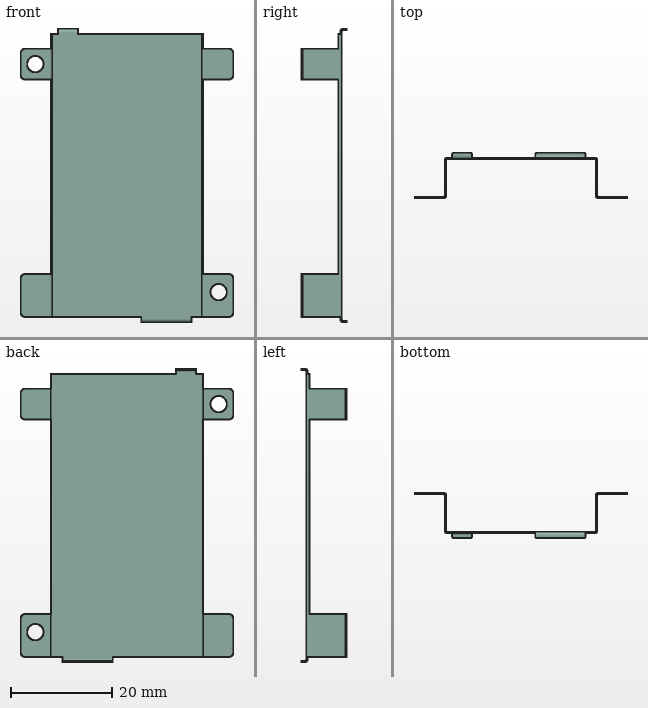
import cadquery as cq

total_width = 42.0
total_depth = 9.0
half_width = total_width / 2
total_height = 58.0

sheet = 0.3
rim_outer_radius = 0.4
foot_inner_radius = 0.3
foot_outer_radius = foot_inner_radius + sheet
lip_inner_radius = 0.35
lip_outer_radius = lip_inner_radius + sheet

plate_width = 30.05
half_plate = plate_width / 2
plate_bottom = 1.05
plate_top = total_height - plate_bottom
plate_back = 8.0
plate_front = plate_back - sheet
rim_depth = 0.7

top_lip_start, top_lip_width = -13.65, 4.0
bottom_lip_start, bottom_lip_width = 2.8, 10.0
lip_corner_radius = 0.4
mid_height = total_height / 2

upper_foot_bottom, upper_foot_top = 47.9, 54.05
lower_foot_bottom, lower_foot_top = plate_bottom, 9.55
foot_corner_radius = 0.9

hole_diameter = 3.2
hole_offset = 18.1
upper_hole_height = (upper_foot_bottom + upper_foot_top) / 2
lower_hole_height = 6.0


def box(x0, x1, y0, y1, z0, z1):
    """Box between two opposite corners."""
    return cq.Workplane("XY").box(x1 - x0, y1 - y0, z1 - z0, centered=False).translate((x0, y0, z0))


def round_bend(solid, edges_at, axis):
    """Round the given (point, radius) edges that run along an axis."""
    for point, radius in edges_at:
        selector = cq.selectors.NearestToPointSelector(point)
        solid = solid.edges("|" + axis).edges(selector).fillet(radius)
    return solid


def make_channel():
    """Plate with a shallow rim along both long sides, rounded on the outside."""
    rim_front = plate_back - rim_depth
    outer = box(-half_plate, half_plate, rim_front, plate_back, plate_bottom, plate_top)
    outer = outer.edges("|Z and >Y").fillet(rim_outer_radius)
    inside = half_plate - sheet
    cavity = box(-inside, inside, rim_front, plate_front, plate_bottom, plate_top)
    return outer.cut(cavity)


def make_right_foot(z0, z1):
    """Side wall running forward from the rim, bent outward into a flat foot."""
    wall_inside = half_plate - sheet
    wall_end = plate_back - rim_depth
    z_mid = (z0 + z1) / 2
    wall = box(wall_inside, half_plate, 0, wall_end, z0, z1)
    flange = box(wall_inside, half_width, 0, sheet, z0, z1)
    flange = flange.edges("|Y and >X").fillet(foot_corner_radius)
    bend_edges = [
        ((wall_inside, 0, z_mid), foot_outer_radius),
        ((half_plate, sheet, z_mid), foot_inner_radius),
    ]
    return round_bend(wall.union(flange), bend_edges, "Z")


def make_top_lip(x0, width):
    """Tab rising from the top edge and bent rearward."""
    x1 = x0 + width
    x_mid = x0 + width / 2
    lip_under = total_height - sheet
    neck = box(x0, x1, plate_front, plate_back, plate_top, total_height)
    tip = box(x0, x1, plate_front, total_depth, lip_under, total_height)
    tip = tip.edges("|Z and >Y").fillet(lip_corner_radius)
    bend_edges = [
        ((x_mid, plate_front, total_height), lip_outer_radius),
        ((x_mid, plate_back, lip_under), lip_inner_radius),
    ]
    return round_bend(neck.union(tip), bend_edges, "X")


def make_hole(x, z):
    """Cutter for a through hole in a foot."""
    cylinder = cq.Solid.makeCylinder(hole_diameter / 2, sheet, cq.Vector(x, 0, z), cq.Vector(0, 1, 0))
    return cq.Workplane(obj=cylinder)


result = make_channel()

for foot_bottom, foot_top in [(upper_foot_bottom, upper_foot_top), (lower_foot_bottom, lower_foot_top)]:
    right_foot = make_right_foot(foot_bottom, foot_top)
    result = result.union(right_foot).union(right_foot.mirror("YZ"))

bottom_lip = make_top_lip(bottom_lip_start, bottom_lip_width).mirror("XY", (0, 0, mid_height))
result = result.union(make_top_lip(top_lip_start, top_lip_width)).union(bottom_lip)

result = result.cut(make_hole(-hole_offset, upper_hole_height))
result = result.cut(make_hole(hole_offset, lower_hole_height))